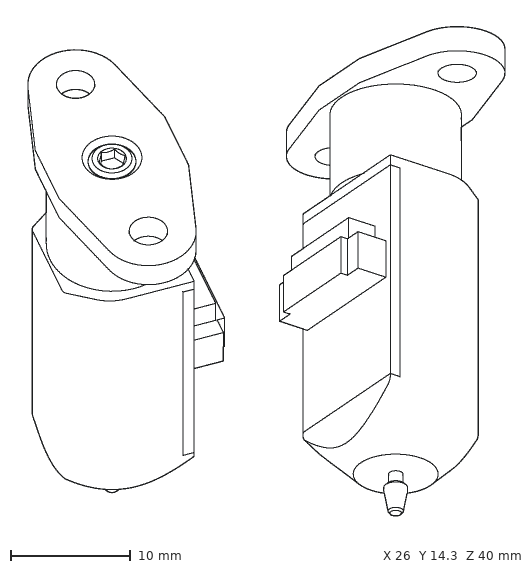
import cadquery as cq
import math

shoulder_z = 25.9
collar_height = 8.1
flange_thickness = 2.3
flange_bottom_z = shoulder_z + collar_height
flange_top_z = flange_bottom_z + flange_thickness

flange_half_width = 5.75
flange_flat_half = 2.95
flange_end_radius = 4.0
mount_hole_offset = 9.0
mount_hole_diameter = 3.2

collar_diameter = 11.0

body_half_width = 6.41
body_back_y = 5.0
body_front_y = -5.75
side_end_y = -1.0
bevel_start = (5.48, -3.64)
front_half_width = 3.93
front_corner_radius = 0.6

nose_radius = 3.55
nose_half_angle = 45.0
nose_edge_radius = 0.7

screw_diameter = 4.0
screw_tip_diameter = 3.33
screw_length = 4.0
screw_recess = 0.1
screw_top_z = flange_top_z - screw_recess
screw_bottom_z = screw_top_z - screw_length
countersink_diameter = 5.0
socket_sides = 6
socket_turn = 30
socket_across_flats = 2.0
socket_depth = 1.1
socket_mouth_diameter = 2.4

pin_stem_diameter = 1.2
pin_stem_depth = 5.0
pin_shoulder_z = -1.02
pin_shoulder_diameter = 1.5
pin_collar_diameter = 2.0
pin_collar_top_z = -1.27
pin_collar_bottom_z = -1.6
pin_taper_diameter = 1.3
pin_taper_bottom_z = -3.5
pin_tip_diameter = 1.0
pin_tip_z = -3.7

board_thickness = 1.0
board_bottom_z = 5.2
board_top_z = 24.95

shell_width = 11.5
shell_back_y = 7.83
tongue_width = 8.4
tongue_back_y = 8.5
shell_bottom_z = 14.6
shell_top_z = 18.05
header_back_y = 7.7
header_top_z = 20.1


def box_between(width, y_range, z_range):
    """Box centred on X = 0 between two Y and two Z limits."""
    depth = y_range[1] - y_range[0]
    height = z_range[1] - z_range[0]
    corner = (0, y_range[0], z_range[0])
    return cq.Workplane("XY", origin=corner).box(width, depth, height, centered=(True, False, False))


def cylinder(diameter, bottom_z, top_z):
    return cq.Workplane("XY", origin=(0, 0, bottom_z)).circle(diameter / 2).extrude(top_z - bottom_z)


def revolve_profile(points):
    """Solid of revolution about Z from (radius, z) points."""
    return cq.Workplane("XZ").polyline(points).close().revolve(360, (0, 0, 0), (0, 1, 0))


def make_flange():
    dx = flange_flat_half - mount_hole_offset
    distance = math.hypot(dx, flange_half_width)
    angle = math.atan2(flange_half_width, dx) - math.acos(flange_end_radius / distance)
    tangent_x = mount_hole_offset + flange_end_radius * math.cos(angle)
    tangent_y = flange_end_radius * math.sin(angle)
    end_x = mount_hole_offset + flange_end_radius
    return (
        cq.Workplane("XY", origin=(0, 0, flange_bottom_z))
        .moveTo(-flange_flat_half, flange_half_width)
        .lineTo(flange_flat_half, flange_half_width)
        .lineTo(tangent_x, tangent_y)
        .threePointArc((end_x, 0), (tangent_x, -tangent_y))
        .lineTo(flange_flat_half, -flange_half_width)
        .lineTo(-flange_flat_half, -flange_half_width)
        .lineTo(-tangent_x, -tangent_y)
        .threePointArc((-end_x, 0), (-tangent_x, tangent_y))
        .close()
        .extrude(flange_thickness)
        .pushPoints([(-mount_hole_offset, 0), (mount_hole_offset, 0)])
        .circle(mount_hole_diameter / 2)
        .cutThruAll()
    )


def make_body():
    bevel_x, bevel_y = bevel_start
    prism = (
        cq.Workplane("XY")
        .moveTo(body_half_width, body_back_y)
        .lineTo(body_half_width, side_end_y)
        .tangentArcPoint(bevel_start, relative=False)
        .lineTo(front_half_width, body_front_y)
        .lineTo(-front_half_width, body_front_y)
        .lineTo(-bevel_x, bevel_y)
        .tangentArcPoint((-body_half_width, side_end_y), relative=False)
        .lineTo(-body_half_width, body_back_y)
        .close()
        .extrude(shoulder_z)
        .edges("|Z and <Y")
        .fillet(front_corner_radius)
    )
    cone_top_radius = nose_radius + shoulder_z * math.tan(math.radians(nose_half_angle))
    cone = revolve_profile([(0, 0), (nose_radius, 0), (cone_top_radius, shoulder_z), (0, shoulder_z)])
    nosed = prism.intersect(cone)
    return nosed.faces("%CONE").edges("not %CIRCLE").edges("not >Y").fillet(nose_edge_radius)


def make_screw():
    """Headless screw with a chamfered end and a hexagon socket with a conical mouth."""
    radius = screw_diameter / 2
    tip_radius = screw_tip_diameter / 2
    chamfer_z = screw_top_z - (radius - tip_radius)
    blank = revolve_profile(
        [
            (0, screw_bottom_z),
            (radius, screw_bottom_z),
            (radius, chamfer_z),
            (tip_radius, screw_top_z),
            (0, screw_top_z),
        ]
    )
    half_flat_angle = 180 / socket_sides
    corner_diameter = socket_across_flats / math.cos(math.radians(half_flat_angle))
    socket = (
        cq.Workplane("XY", origin=(0, 0, screw_top_z - socket_depth))
        .transformed(rotate=(0, 0, socket_turn))
        .polygon(socket_sides, corner_diameter)
        .extrude(socket_depth)
    )
    mouth_radius = socket_mouth_diameter / 2
    flat_radius = socket_across_flats / 2
    mouth_z = screw_top_z - (mouth_radius - flat_radius)
    mouth = revolve_profile(
        [(0, mouth_z), (flat_radius, mouth_z), (mouth_radius, screw_top_z), (0, screw_top_z)]
    )
    return blank.cut(socket).cut(mouth)


def make_screw_hole():
    """Cutter for the countersunk blind hole that the set screw fills."""
    radius = screw_diameter / 2
    mouth_radius = countersink_diameter / 2
    countersink_z = flange_top_z - (mouth_radius - radius)
    return revolve_profile(
        [
            (0, screw_bottom_z),
            (radius, screw_bottom_z),
            (radius, countersink_z),
            (mouth_radius, flange_top_z),
            (0, flange_top_z),
        ]
    )


def make_pin():
    stem = cylinder(pin_stem_diameter, pin_shoulder_z, pin_stem_depth)
    head = revolve_profile(
        [
            (0, pin_shoulder_z),
            (pin_shoulder_diameter / 2, pin_shoulder_z),
            (pin_collar_diameter / 2, pin_collar_top_z),
            (pin_collar_diameter / 2, pin_collar_bottom_z),
            (pin_taper_diameter / 2, pin_taper_bottom_z),
            (pin_tip_diameter / 2, pin_tip_z),
            (0, pin_tip_z),
        ]
    )
    return stem.union(head)


def make_board():
    return box_between(
        2 * body_half_width,
        (body_back_y - board_thickness, body_back_y),
        (board_bottom_z, board_top_z),
    )


def make_header():
    return box_between(tongue_width, (body_back_y, header_back_y), (shell_top_z, header_top_z))


def make_shell():
    levels = (shell_bottom_z, shell_top_z)
    shell = box_between(shell_width, (body_back_y, shell_back_y), levels)
    tongue = box_between(tongue_width, (body_back_y, tongue_back_y), levels)
    return shell.union(tongue)


def make_housing():
    collar = cylinder(collar_diameter, shoulder_z, flange_bottom_z)
    pin_hole = cylinder(pin_stem_diameter, 0, pin_stem_depth)
    return (
        make_body()
        .union(collar)
        .union(make_flange())
        .cut(make_screw_hole())
        .cut(pin_hole)
        .cut(make_board())
    )


housing = make_housing()
set_screw = make_screw()
pin = make_pin()
board = make_board()
header = make_header()
shell = make_shell()

bodies = [housing, set_screw, pin, board, header, shell]
result = cq.Compound.makeCompound([body.solids().val() for body in bodies])